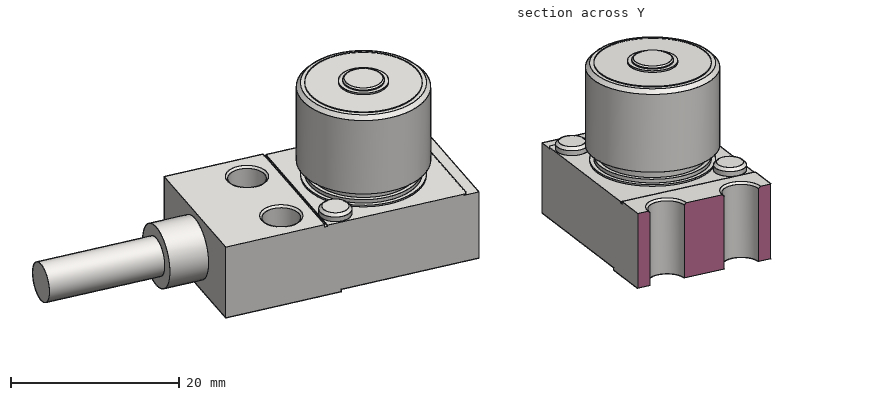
import cadquery as cq

total_length = 53.0
width = 18.0
body_length = 32.95
body_height = 9.8
back_face = total_length
front_face = back_face - body_length

step_depth = 0.3
top_step_length = 20.1
bottom_step_length = 17.9
step_top = body_height - step_depth

plate_thickness = 0.15
plate_setback = 1.55
plate_length = 18.2
plate_corner_radius = 0.4

pin_diameter = 4.0
pin_top = 10.65
pin_chamfer = 0.35
pin_side_offset = width / 2 - 2.15

hole_diameter = 4.6
hole_spacing = 10.0
hole_distance = 9.0
hole_chamfer = 0.25

gland_diameter = 8.0
gland_length = 5.05
cable_diameter = 5.0
cable_axis_height = body_height / 2

head_setback = 11.0
flange_diameter = 15.0
flange_top = 9.85
collar_diameter = 14.0
collar_top = 10.35
neck_diameter = 13.0
cap_diameter = 16.0
cap_bottom = 11.7
cap_top = 22.35
cap_chamfer = 0.505
cap_disc_diameter = collar_diameter
cap_disc_top = 22.45
button_base_diameter = 6.0
button_base_top = 22.7
button_diameter = 5.0
button_chamfer = 0.185
button_top = 23.0


def block(length, y_start, z_start, height):
    """Full-width block running from y_start toward +Y."""
    return (
        cq.Workplane("XY", origin=(0, y_start, z_start))
        .box(width, length, height, centered=(True, False, False))
    )


def upright(diameter, y, z_bottom, z_top, x=0):
    """Vertical cylinder between two heights."""
    return (
        cq.Workplane("XY", origin=(x, y, z_bottom))
        .circle(diameter / 2)
        .extrude(z_top - z_bottom)
    )


def make_body():
    body = block(body_length, front_face, 0, body_height)
    body = body.cut(block(top_step_length, back_face - top_step_length, step_top, step_depth))
    body = body.cut(block(bottom_step_length, back_face - bottom_step_length, 0, step_depth))
    for side in (-1, 1):
        x = side * hole_spacing / 2
        y = front_face + hole_distance
        mouth = cq.Workplane("XY", origin=(x, y, body_height)).circle(hole_diameter / 2 + hole_chamfer)
        countersink = mouth.workplane(offset=-hole_chamfer).circle(hole_diameter / 2).loft()
        body = body.cut(upright(hole_diameter, y, 0, body_height, x)).cut(countersink)
    return body


def make_plate():
    plate = block(plate_length, back_face - plate_setback - plate_length, step_top, plate_thickness)
    return plate.edges("|Z and >Y").fillet(plate_corner_radius)


def make_pins():
    inset = pin_diameter / 2
    back_y = back_face - plate_setback - inset
    front_y = back_face - plate_setback - plate_length + inset
    pins = cq.Workplane("XY")
    for x, y in ((-pin_side_offset, back_y), (pin_side_offset, front_y)):
        pin = upright(pin_diameter, y, step_top, pin_top, x)
        pins = pins.add(pin.faces(">Z").chamfer(pin_chamfer))
    return pins.combine()


def make_head():
    y = back_face - head_setback
    flange = upright(flange_diameter, y, step_top, flange_top)
    collar = upright(collar_diameter, y, flange_top, collar_top)
    neck = upright(neck_diameter, y, collar_top, cap_bottom)
    cap = upright(cap_diameter, y, cap_bottom, cap_top).faces(">Z").chamfer(cap_chamfer)
    cap_disc = upright(cap_disc_diameter, y, cap_top, cap_disc_top)
    button_base = upright(button_base_diameter, y, cap_disc_top, button_base_top)
    button = upright(button_diameter, y, button_base_top, button_top).faces(">Z").chamfer(button_chamfer)
    head = flange
    for part in (collar, neck, cap, cap_disc, button_base, button):
        head = head.union(part)
    return head


def make_cable():
    start = cq.Workplane("XZ", origin=(0, front_face, cable_axis_height))
    gland = start.circle(gland_diameter / 2).extrude(gland_length)
    cable = start.circle(cable_diameter / 2).extrude(front_face)
    return gland.union(cable)


result = make_body().union(make_plate()).union(make_pins()).union(make_head()).union(make_cable())